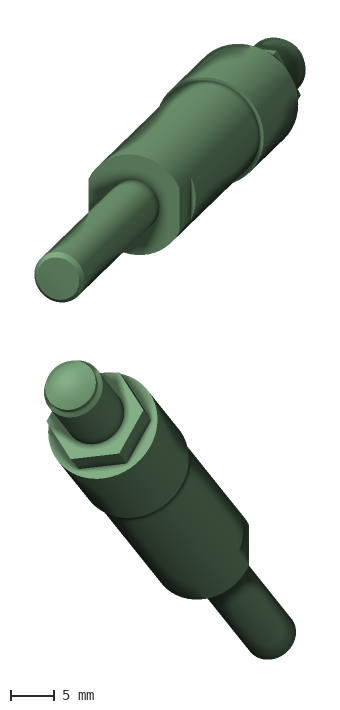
import cadquery as cq
import math

overall_length = 79.5

shaft_length = 27.0
wrench_length = 4.05
body_length = 22.7
collar_length = 12.25
hex_length = 3.1

shaft_diameter = 6.05
body_diameter = 12.1
wrench_flats = 11.0
collar_diameter = 13.0
hex_flats = 10.0
plunger_diameter = 7.0
tip_diameter = 6.05

shaft_chamfer = 0.5
plunger_chamfer = (plunger_diameter - tip_diameter) / 2
tip_land = 0.6
dome_height = 0.8

shaft_start = -overall_length / 2
wrench_start = shaft_start + shaft_length
body_start = wrench_start + wrench_length
collar_start = body_start + body_length
hex_start = collar_start + collar_length
plunger_start = hex_start + hex_length
tip_end = overall_length / 2
dome_start = tip_end - dome_height
land_start = dome_start - tip_land


def section_plane(y):
    """Plane across the axis at y, with its normal pointing towards the tip."""
    return cq.Workplane("XZ", origin=(0, y, 0)).workplane(invert=True)


def cylinder(diameter, start, length):
    return section_plane(start).circle(diameter / 2).extrude(length)


def make_shaft():
    shaft = cylinder(shaft_diameter, shaft_start, shaft_length)
    return shaft.faces("<Y").chamfer(shaft_chamfer)


def make_wrench_section():
    """Round end of the body with two flats facing -X and +X."""
    flats = section_plane(wrench_start).rect(wrench_flats, body_diameter).extrude(wrench_length)
    return cylinder(body_diameter, wrench_start, wrench_length).intersect(flats)


def make_hex():
    """Hexagon with corners on the X axis and flats facing up and down."""
    hex_corners = hex_flats / math.cos(math.pi / 6)
    return section_plane(hex_start).polygon(6, hex_corners).extrude(hex_length)


def make_plunger():
    """Revolved plunger with a conical shoulder, a short land and a domed end."""
    plunger_radius = plunger_diameter / 2
    tip_radius = tip_diameter / 2
    dome_radius = (tip_radius**2 + dome_height**2) / (2 * dome_height)
    half_angle = math.asin(tip_radius / dome_radius) / 2
    dome_center = tip_end - dome_radius
    dome_middle = (
        dome_radius * math.sin(half_angle),
        dome_center + dome_radius * math.cos(half_angle),
    )
    profile = (
        cq.Workplane("XY")
        .moveTo(0, plunger_start)
        .lineTo(plunger_radius, plunger_start)
        .lineTo(plunger_radius, land_start - plunger_chamfer)
        .lineTo(tip_radius, land_start)
        .lineTo(tip_radius, dome_start)
        .threePointArc(dome_middle, (0, tip_end))
        .close()
    )
    return profile.revolve(360, (0, 0, 0), (0, 1, 0))


result = (
    make_shaft()
    .union(make_wrench_section())
    .union(cylinder(body_diameter, body_start, body_length))
    .union(cylinder(collar_diameter, collar_start, collar_length))
    .union(make_hex())
    .union(make_plunger())
)